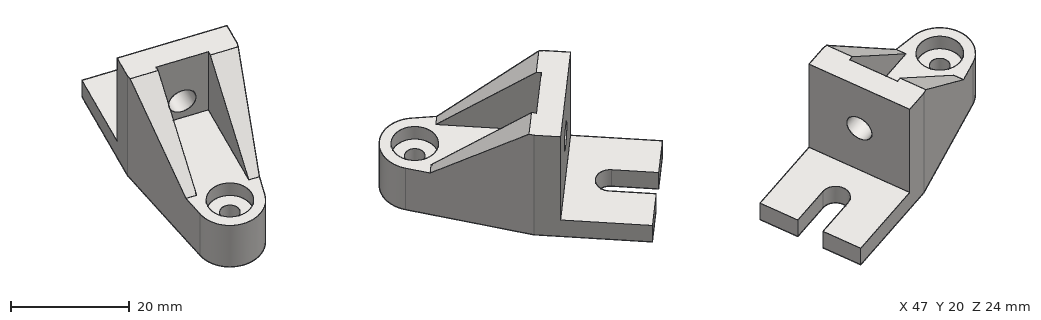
import cadquery as cq
import math

length = 47.0
width = 20.0
height = 24.0

foot_thickness = 4.0
wall_front = 15.5
taper_start = 20.0
slot_width = 5.0
slot_end = 10.5
wall_hole_diameter = 5.0
wall_hole_height = foot_thickness + (height - foot_thickness) / 2

boss_radius = 6.0
boss_x = length - boss_radius
boss_height = 10.0
slope_start = 20.85
slope_end = 37.85

channel_width = 9.5

bore_diameter = 3.5
counterbore_diameter = 8.0
counterbore_depth = 3.0


def plan_body():
    """Full-height plan shape, its tapered sides tangent to the boss arc."""
    half_width = width / 2
    run = boss_x - taper_start
    tangent_angle = math.atan2(half_width, -run) - math.acos(boss_radius / math.hypot(run, half_width))
    tangent_x = boss_x + boss_radius * math.cos(tangent_angle)
    tangent_y = boss_radius * math.sin(tangent_angle)
    return (
        cq.Workplane("XY")
        .moveTo(0, -half_width)
        .lineTo(taper_start, -half_width)
        .lineTo(tangent_x, -tangent_y)
        .threePointArc((length, 0), (tangent_x, tangent_y))
        .lineTo(taper_start, half_width)
        .lineTo(0, half_width)
        .close()
        .extrude(height)
    )


def side_profile():
    """Foot, wall, slope and boss as seen from the side, across the full width."""
    outline = [
        (0, 0),
        (length, 0),
        (length, boss_height),
        (slope_end, boss_height),
        (slope_start, height),
        (wall_front, height),
        (wall_front, foot_thickness),
        (0, foot_thickness),
    ]
    return cq.Workplane("XZ").polyline(outline).close().extrude(width / 2, both=True)


def channel():
    """Recess behind the wall, with its floor level with the boss top."""
    return cq.Workplane("XY").box(
        slope_end - taper_start, channel_width, height - boss_height, centered=(False, True, False)
    ).translate((taper_start, 0, boss_height))


def foot_slot():
    """Round-ended slot open at the free edge of the foot."""
    straight_end = slot_end - slot_width / 2
    straight = cq.Workplane("XY").box(
        straight_end, slot_width, foot_thickness, centered=(False, True, False)
    )
    round_end = cq.Workplane("XY").center(straight_end, 0).circle(slot_width / 2).extrude(foot_thickness)
    return straight.union(round_end)


def wall_hole():
    """Horizontal hole through the wall into the channel."""
    return (
        cq.Workplane("YZ", origin=(wall_front, 0, wall_hole_height))
        .circle(wall_hole_diameter / 2)
        .extrude(taper_start - wall_front)
    )


def boss_hole():
    """Through bore with a counterbore from the boss top."""
    bore = cq.Workplane("XY").center(boss_x, 0).circle(bore_diameter / 2).extrude(boss_height)
    counterbore = (
        cq.Workplane("XY", origin=(boss_x, 0, boss_height - counterbore_depth))
        .circle(counterbore_diameter / 2)
        .extrude(counterbore_depth)
    )
    return bore.union(counterbore)


result = plan_body().intersect(side_profile())
for cutter in (channel(), foot_slot(), wall_hole(), boss_hole()):
    result = result.cut(cutter)